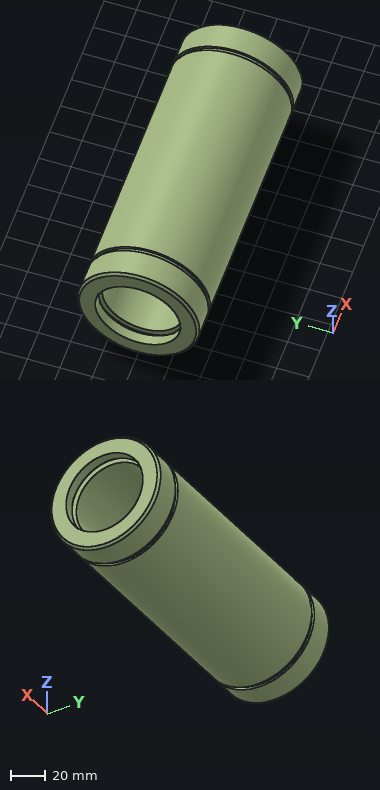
import cadquery as cq

length = 192.0
outer_diameter = 75.0
bore_diameter = 50.0
end_chamfer = 1.5

outer_groove_diameter = 72.0
outer_groove_offset = 18.0
outer_groove_width = 2.9

counterbore_diameter = 52.5
counterbore_depth = 6.7
inner_groove_diameter = 57.5
inner_groove_width = 2.7


def cylinder(diameter, start, width):
    """Cylinder along +X from the given X position."""
    return cq.Workplane("YZ", origin=(start, 0, 0)).circle(diameter / 2).extrude(width)


def ring_cutter(start, width):
    """Ring that cuts an outer groove down to its floor diameter."""
    return cylinder(outer_diameter, start, width).cut(
        cylinder(outer_groove_diameter, start, width)
    )


def end_cutter():
    """All cuts at the -X end: outer groove, counterbore and inner groove."""
    end = -length / 2
    outer_groove = ring_cutter(end + outer_groove_offset, outer_groove_width)
    counterbore = cylinder(counterbore_diameter, end, counterbore_depth)
    inner_groove = cylinder(inner_groove_diameter, end + counterbore_depth, inner_groove_width)
    return outer_groove, counterbore, inner_groove


body = cylinder(outer_diameter, -length / 2, length).faces("<X or >X").chamfer(end_chamfer)
result = body.cut(cylinder(bore_diameter, -length / 2, length))

for cutter in end_cutter():
    result = result.cut(cutter).cut(cutter.mirror("YZ"))